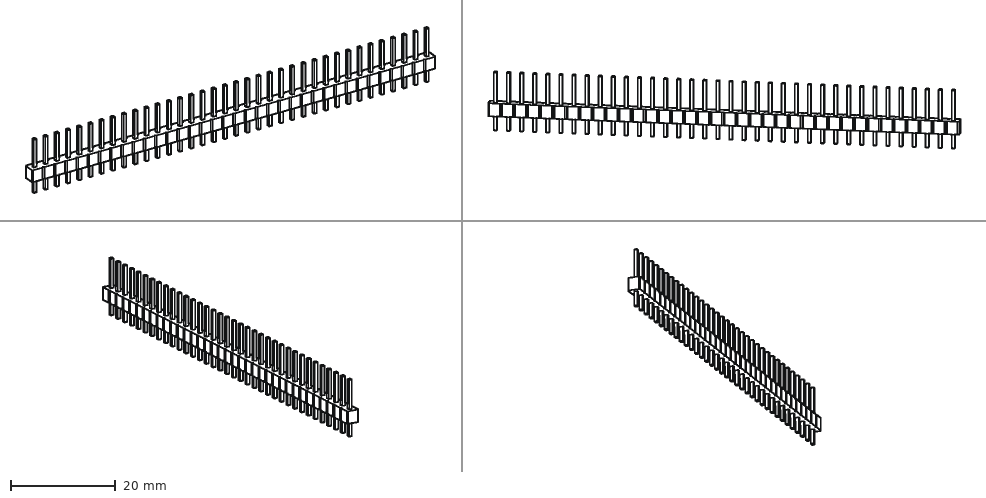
import cadquery as cq

PIN_COUNT = 36
PITCH = 2.54
HOUSING_WIDTH = PITCH
HOUSING_HEIGHT = PITCH
CORNER_CHAMFER = PITCH / 10

PIN_SIDE = 0.64
TIP_CHAMFER = 0.15
PIN_ABOVE = 6.0
PIN_BELOW = 3.0

PIN_LENGTH = PIN_BELOW + HOUSING_HEIGHT + PIN_ABOVE
ROW_LENGTH = PIN_COUNT * PITCH
FIRST_PIN_Y = -(ROW_LENGTH - PITCH) / 2
PIN_POSITIONS = [(0, FIRST_PIN_Y + i * PITCH) for i in range(PIN_COUNT)]


def make_block():
    """Housing block of one pin, with its four vertical edges chamfered."""
    return (
        cq.Workplane("XY")
        .box(HOUSING_WIDTH, PITCH, HOUSING_HEIGHT, centered=(True, True, False))
        .edges("|Z")
        .chamfer(CORNER_CHAMFER)
    )


def make_pin():
    """Square pin with the edges of both end faces chamfered."""
    return (
        cq.Workplane("XY")
        .workplane(offset=-PIN_BELOW)
        .rect(PIN_SIDE, PIN_SIDE)
        .extrude(PIN_LENGTH)
        .faces("<Z or >Z")
        .edges()
        .chamfer(TIP_CHAMFER)
    )


def place_at_each_pin(shape):
    """Copies of a shape at every pin position, fused together."""
    return (
        cq.Workplane("XY")
        .pushPoints(PIN_POSITIONS)
        .eachpoint(shape.val(), combine=True)
    )


housing = place_at_each_pin(make_block())
pins = place_at_each_pin(make_pin())
result = housing.union(pins).clean()